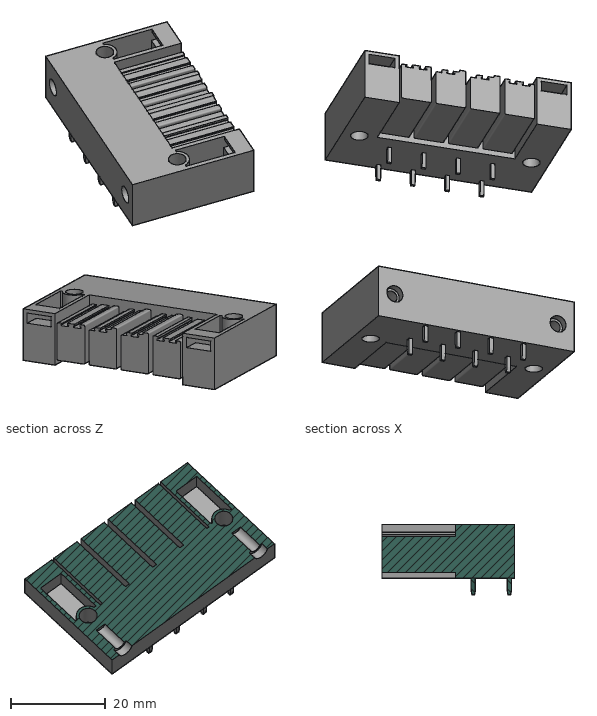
import cadquery as cq

pitch = 7.62
pole_count = 4
width = (pole_count + 2) * pitch
depth = 28.0
height = 11.4
pin_length = 3.5

bay_width = pole_count * pitch
bay_start = 12.5

finger_width = 6.6
finger_base = 1.2
finger_rounding = 0.3
middle_drop = 1.7
outer_finger_inner_drop = 1.55
outer_finger_outer_drop = 1.9
inner_finger_left_drop = 1.2
groove_floor_drop = 2.45
inner_finger_step_x = 2.0
step_rounding = 0.4
groove_opening = 1.24
groove_undercut = 0.25
groove_undercut_height = 0.3
groove_foot_rounding = 0.2
outer_groove_x = 1.48

arm_width = pitch
arm_centre = (width - arm_width) / 2
mount_hole_y = 12.0
mount_hole_diameter = 3.7
mount_wall_radius = 2.56
pocket_width = 5.7
pocket_start = 12.85
pocket_end = 23.95
pocket_floor = 1.5
lip_edge = 24.1
lip_thickness = 0.8
ledge_depth = 3.05
screw_hole_diameter = 2.64
screw_hole_depth = 8.0
screw_recess_diameter = 3.7
screw_recess_depth = 1.8

pin_width = 0.85
pin_thickness = 0.95
pin_tip_thickness = 0.6
pin_tip_length = 1.0
front_row_y = 1.1

pole_positions = [(i - (pole_count - 1) / 2) * pitch for i in range(pole_count)]


def box(x_centre, x_size, y_start, y_end, z_start, z_end):
    """Block centred on x_centre, spanning the given Y and Z ranges."""
    block = cq.Workplane("XY").box(x_size, y_end - y_start, z_end - z_start, centered=(True, False, False))
    return block.translate((x_centre, y_start, z_start))


def upright_cylinder(x, y, radius):
    """Vertical cylinder through the full height of the housing."""
    return cq.Workplane("XY", origin=(x, y, 0)).circle(radius).extrude(height)


def finger_bar(step_x, left_drop, right_drop):
    """Bar with a middle band up to step_x on each side and side bands at their own heights."""
    half = finger_width / 2
    left, middle, right = height - left_drop, height - middle_drop, height - right_drop
    outline = [
        (-half, finger_base), (-half, left), (-step_x, left), (-step_x, middle),
        (step_x, middle), (step_x, right), (half, right), (half, finger_base),
    ]
    bar = cq.Workplane("XZ", origin=(0, depth, 0)).polyline(outline).close().extrude(depth - bay_start)
    return bar.edges("|Y and (<X or >X)").fillet(finger_rounding)


def undercut_groove(x):
    """Cutter for a lengthwise groove with straight walls, undercut and rounded at the floor."""
    floor = height - groove_floor_drop
    slot = box(x, groove_opening, bay_start, depth, floor, height)
    undercut_width = groove_opening + 2 * groove_undercut
    undercut = box(x, undercut_width, bay_start, depth, floor, floor + groove_undercut_height)
    undercut = undercut.faces("<Z").edges("|Y").fillet(groove_foot_rounding)
    return slot.union(undercut)


def outer_finger():
    """Rightmost finger: two grooves, lower on the side next to the arm."""
    bar = finger_bar(outer_groove_x, outer_finger_inner_drop, outer_finger_outer_drop)
    return bar.cut(undercut_groove(-outer_groove_x)).cut(undercut_groove(outer_groove_x))


def inner_finger():
    """Finger stepping down from left to right, with rounded steps and a central groove."""
    bar = finger_bar(inner_finger_step_x, inner_finger_left_drop, groove_floor_drop)
    mid_y = (bay_start + depth) / 2
    step_z = height - middle_drop
    for x in (-inner_finger_step_x, inner_finger_step_x):
        step_edge = cq.selectors.NearestToPointSelector((x, mid_y, step_z))
        bar = bar.edges(step_edge).fillet(step_rounding)
    return bar.cut(undercut_groove(0))


def arm_cuts(x):
    """Everything removed from one arm."""
    pocket = box(x, pocket_width, pocket_start, pocket_end, pocket_floor, height)
    pocket = pocket.union(box(x, pocket_width, pocket_end, lip_edge, height - ledge_depth, height))
    pocket = pocket.cut(upright_cylinder(x, mount_hole_y, mount_wall_radius))
    opening = box(x, pocket_width, lip_edge, depth, height - ledge_depth, height - lip_thickness)
    mount_hole = upright_cylinder(x, mount_hole_y, mount_hole_diameter / 2)
    front = cq.Workplane("XZ", origin=(x, 0, height / 2))
    screw_hole = front.circle(screw_hole_diameter / 2).extrude(-screw_hole_depth)
    screw_recess = front.circle(screw_recess_diameter / 2).extrude(-screw_recess_depth)
    return pocket.union(opening).union(mount_hole).union(screw_hole).union(screw_recess)


def make_housing():
    body = box(0, width, 0, depth, 0, height)
    body = body.cut(box(0, bay_width, bay_start, depth, 0, height))
    for x in pole_positions[1:-1]:
        body = body.union(inner_finger().translate((x, 0, 0)))
    right_finger = outer_finger().translate((pole_positions[-1], 0, 0))
    body = body.union(right_finger).union(right_finger.mirror("YZ"))
    for x in (-arm_centre, arm_centre):
        body = body.cut(arm_cuts(x))
    return body


def make_pin(x, y):
    """Contact pin on the housing's underside, tapered in Y at its tip."""
    half, tip_half = pin_thickness / 2, pin_tip_thickness / 2
    taper_start = pin_tip_length - pin_length
    outline = [
        (-half, 0), (-half, taper_start), (-tip_half, -pin_length),
        (tip_half, -pin_length), (half, taper_start), (half, 0),
    ]
    profile = cq.Workplane("YZ", origin=(x, y, 0)).polyline(outline).close()
    return profile.extrude(pin_width / 2, both=True)


housing = make_housing()
pins = [make_pin(x, front_row_y + row * pitch) for row in range(2) for x in pole_positions]

result = cq.Compound.makeCompound([housing.val()] + [pin.val() for pin in pins])